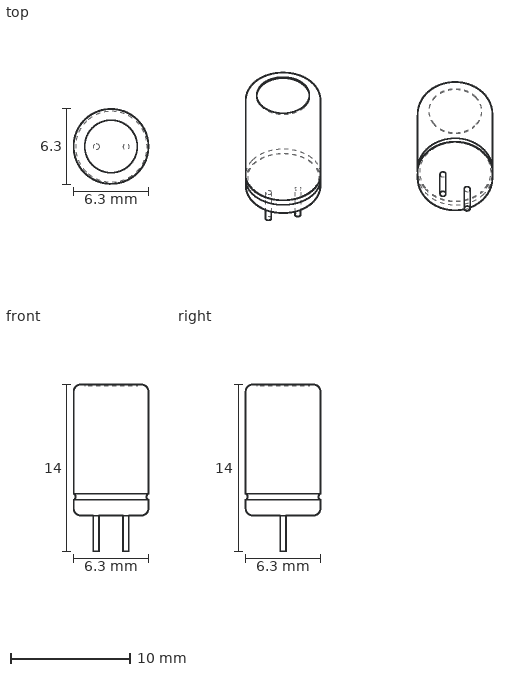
import cadquery as cq

can_diameter = 6.3
can_height = 11.0
can_radius = can_diameter / 2
edge_fillet = can_diameter / 10

recess_diameter = 0.7 * can_diameter
recess_depth = 0.125

groove_center_z = can_diameter / 4
groove_height = 0.52
groove_depth = 0.17

lead_diameter = 0.5
lead_pitch = 2.5
lead_length = 3.0


def make_can():
    """Revolve the can profile, with its arc groove, and round both rims."""
    groove_bottom_z = groove_center_z - groove_height / 2
    groove_top_z = groove_center_z + groove_height / 2
    profile = (
        cq.Workplane("XZ")
        .lineTo(can_radius, 0)
        .lineTo(can_radius, groove_bottom_z)
        .threePointArc(
            (can_radius - groove_depth, groove_center_z),
            (can_radius, groove_top_z),
        )
        .lineTo(can_radius, can_height)
        .lineTo(0, can_height)
        .close()
    )
    can = profile.revolve(360, (0, 0), (0, 1))
    return can.faces("<Z or >Z").edges().fillet(edge_fillet)


def cut_top_recess(can):
    recess = (
        cq.Workplane("XY", origin=(0, 0, can_height - recess_depth))
        .circle(recess_diameter / 2)
        .extrude(recess_depth)
    )
    return can.cut(recess)


def make_leads():
    return (
        cq.Workplane("XY")
        .pushPoints([(-lead_pitch / 2, 0), (lead_pitch / 2, 0)])
        .circle(lead_diameter / 2)
        .extrude(-lead_length)
    )


result = cut_top_recess(make_can()).union(make_leads())